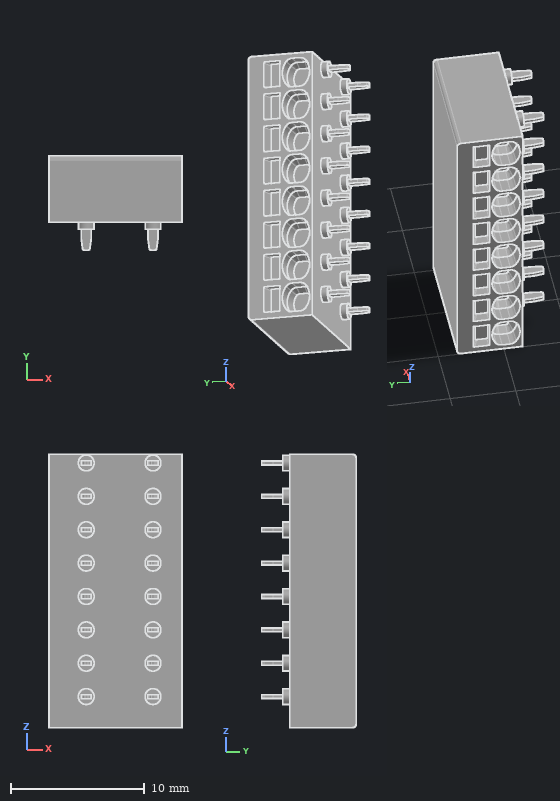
import cadquery as cq
import math

LENGTH_X = 10.0
DEPTH_Y = 5.0
HEIGHT_Z = 20.5
BACK_EDGE_RADIUS = 0.29

POLES = 8
PITCH = 2.5
FIRST_POLE_Z = (HEIGHT_Z - (POLES - 1) * PITCH) / 2

WINDOW_Y_MIN = 2.52
WINDOW_Y_MAX = 3.77
WINDOW_HEIGHT = 1.99
WINDOW_DEPTH = 0.82
WINDOW_SLOPE = 0.3
WINDOW_CORNER_RADIUS = 0.08

ENTRY_Y = 1.27
MOUTH_HALF_WIDTH = 1.07
MOUTH_HALF_HEIGHT = 1.1
MOUTH_FLAT_HALF = 0.3
MOUTH_CORNER_RADIUS = 0.57
MOUTH_DEPTH = 1.25
FUNNEL_DEPTH = 0.65
FUNNEL_INSET = 0.33
FUNNEL_FRONT_WALL = 0.51

PIN_X_FIRST = 2.8
PIN_ROW_SPACING = 5.0
PIN_ROWS = 2
PIN_Z_OFFSET = 0.85
COLLAR_RADIUS = 0.6
COLLAR_LENGTH = 0.51
PIN_LENGTH = 2.1
BLADE_WIDTH = 0.75
BLADE_THICKNESS = 0.3
TAPER_LENGTH = 0.82
TIP_WIDTH = 0.53
TIP_RADIUS = 0.16
COLLAR_EMBED = 0.1


def make_housing():
    box = cq.Workplane("XY").box(LENGTH_X, DEPTH_Y, HEIGHT_Z, centered=False)
    return box.edges("|X and >Y").fillet(BACK_EDGE_RADIUS)


def make_window():
    """Pocket with its +Y wall sloping inward, centred on z = 0."""
    outline = [
        (0, WINDOW_Y_MIN),
        (WINDOW_DEPTH, WINDOW_Y_MIN),
        (WINDOW_DEPTH, WINDOW_Y_MAX - WINDOW_SLOPE),
        (0, WINDOW_Y_MAX),
    ]
    pocket = (
        cq.Workplane("XY")
        .workplane(offset=-WINDOW_HEIGHT / 2)
        .polyline(outline)
        .close()
        .extrude(WINDOW_HEIGHT)
    )
    return pocket.edges("#Z and (not |Y)").fillet(WINDOW_CORNER_RADIUS)


def entry_outline(depth, inset, front_wall=None):
    """Barrel outline at a given depth: two flats, four corner arcs and two side arcs.

    The side arcs are tangent to the corner arcs. A front_wall distance replaces
    the -Y side by a straight wall at that distance from the entry centre.
    """
    half_width = MOUTH_HALF_WIDTH - inset
    half_height = MOUTH_HALF_HEIGHT - inset
    corner = MOUTH_CORNER_RADIUS - inset
    corner_z = half_height - corner
    reach = half_width - MOUTH_FLAT_HALF
    side = (reach**2 + corner_z**2 - corner**2) / (2 * (reach - corner))
    angle = math.asin(corner_z / (side - corner))

    def corner_point(direction):
        return (
            MOUTH_FLAT_HALF + corner * math.cos(direction),
            corner_z + corner * math.sin(direction),
        )

    joint_y, joint_z = corner_point(angle)
    middle_y, middle_z = corner_point((angle + math.pi / 2) / 2)
    outline = (
        cq.Workplane("YZ", origin=(depth, ENTRY_Y, 0))
        .moveTo(-MOUTH_FLAT_HALF, half_height)
        .lineTo(MOUTH_FLAT_HALF, half_height)
        .threePointArc((middle_y, middle_z), (joint_y, joint_z))
        .threePointArc((half_width, 0), (joint_y, -joint_z))
        .threePointArc((middle_y, -middle_z), (MOUTH_FLAT_HALF, -half_height))
        .lineTo(-MOUTH_FLAT_HALF, -half_height)
    )
    if front_wall is None:
        return (
            outline.threePointArc((-middle_y, -middle_z), (-joint_y, -joint_z))
            .threePointArc((-half_width, 0), (-joint_y, joint_z))
            .threePointArc((-middle_y, middle_z), (-MOUTH_FLAT_HALF, half_height))
            .close()
        )
    wall_corner = front_wall - MOUTH_FLAT_HALF
    wall_z = half_height - wall_corner
    bend_y = MOUTH_FLAT_HALF + wall_corner * math.sqrt(0.5)
    bend_z = wall_z + wall_corner * math.sqrt(0.5)
    return (
        outline.threePointArc((-bend_y, -bend_z), (-front_wall, -wall_z))
        .lineTo(-front_wall, wall_z)
        .threePointArc((-bend_y, bend_z), (-MOUTH_FLAT_HALF, half_height))
        .close()
    )


def make_wire_entry():
    """Straight mouth and funnel, centred on z = 0."""
    mouth = entry_outline(0, 0).extrude(MOUTH_DEPTH)
    wide_end = entry_outline(MOUTH_DEPTH, 0).val()
    narrow_end = entry_outline(MOUTH_DEPTH + FUNNEL_DEPTH, FUNNEL_INSET, FUNNEL_FRONT_WALL).val()
    funnel = cq.Solid.makeLoft([wide_end, narrow_end], True)
    return mouth.union(cq.Workplane(funnel))


def make_pin():
    """Pin pointing to -Y, centred on x = z = 0, set slightly into the housing."""
    collar = (
        cq.Workplane("XZ", origin=(0, COLLAR_EMBED, 0))
        .circle(COLLAR_RADIUS)
        .extrude(COLLAR_LENGTH + COLLAR_EMBED)
    )
    taper_start = TAPER_LENGTH - PIN_LENGTH
    outline = [
        (-BLADE_WIDTH / 2, 0),
        (-BLADE_WIDTH / 2, taper_start),
        (-TIP_WIDTH / 2, -PIN_LENGTH),
        (TIP_WIDTH / 2, -PIN_LENGTH),
        (BLADE_WIDTH / 2, taper_start),
        (BLADE_WIDTH / 2, 0),
    ]
    blade = (
        cq.Workplane("XY")
        .polyline(outline)
        .close()
        .extrude(BLADE_THICKNESS / 2, both=True)
        .edges("|Z and <Y")
        .fillet(TIP_RADIUS)
    )
    return collar.union(blade)


result = make_housing()
window = make_window()
wire_entry = make_wire_entry()
pin = make_pin()

for pole in range(POLES):
    pole_z = FIRST_POLE_Z + pole * PITCH
    result = result.cut(window.translate((0, 0, pole_z)))
    result = result.cut(wire_entry.translate((0, 0, pole_z)))
    for row in range(PIN_ROWS):
        pin_x = PIN_X_FIRST + row * PIN_ROW_SPACING
        result = result.union(pin.translate((pin_x, 0, pole_z + PIN_Z_OFFSET)))